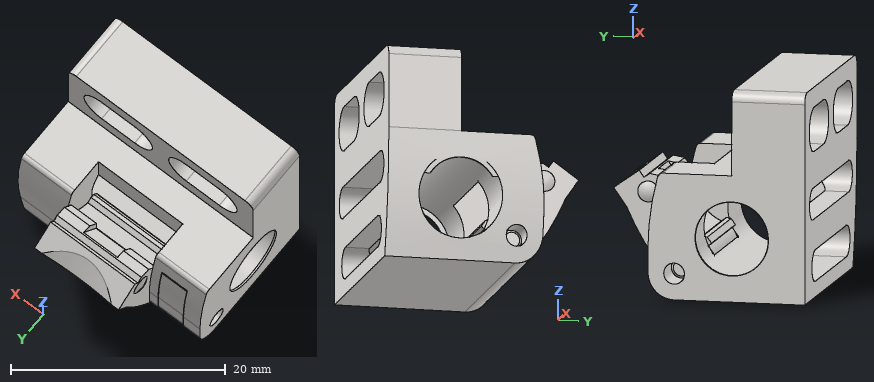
import cadquery as cq
import math

width = 22
height = 20.0
base_depth = 15.0
base_height = 12.0
flange_depth = 7.0
flange_corner_radius = 1.0

bore_y, bore_z = flange_depth, base_height / 2
bore_radius = 3.5
bore_relief_radius = 4.0
bore_lip = 0.2
pivot_radius = 2.5
pivot_y, pivot_z = base_depth - pivot_radius, pivot_radius

back_curve_radius = 27.0
back_curve_start = 4.6
back_edge_radius = 0.5
side_curve_radius = 44
side_curve_start = base_height

mount_slot_length = 8.12
mount_slot_height = 4.2
mount_slot_z = 16.0
mount_slot_xs = (5.98, 16.04)

blind_slot_height = 3.0
blind_slot_offset = 3.0
blind_slot_x = width / 2
upper_slot_length = 18.0
lower_slot_length = 16.0
slot_wall_distance = 4.55
slot_wall_angle = 40
slot_inner_radius = 0.46

recess_x = 2.0
recess_width = 3.0
recess_half_height = 4.0
recess_depth = 0.09

lever_x = 6.0
lever_width = 10.0
lever_center_x = lever_x + lever_width / 2
lever_open_angle = 35
nose_y = pivot_y - pivot_radius
grip_radius = 4.14
lip_top = 12.2
lip_inner_y = 11.45
lip_outer_y = 14.45
lip_step = 0.8
nose_chamfer = 0.8
foot_y = 9.6
foot_top = 3.8
foot_bottom = 2.77
foot_chamfer = 0.3
latch_width = 4.0
latch_depth = 0.65
scoop_radius = 15.4
scoop_depth = 0.6
scoop_tilt = 15

stud_y, stud_z = 11.88, 10.1
stud_radius = 1.0
stud_height = 0.26
pin_radius = 1.0
pin_inset = 3.0
pin_chamfer = 0.25


def back_y(z):
    """Y of the curved back at a height above the start of the curve."""
    rise = z - back_curve_start
    return base_depth - back_curve_radius + math.sqrt(back_curve_radius**2 - rise**2)


def back_z(y):
    """Height at which the curved back reaches a given Y."""
    inset = base_depth - y
    return back_curve_start + math.sqrt(back_curve_radius**2 - (back_curve_radius - inset) ** 2)


def back_point(z):
    return (back_y(z), z)


def along_x(sketch, x_start, length):
    """Extrude a YZ outline along X."""
    return sketch.extrude(length).translate((x_start, 0, 0))


def base_outline():
    middle = (back_curve_start + base_height) / 2
    return (
        cq.Workplane("YZ")
        .lineTo(pivot_y, 0)
        .radiusArc((base_depth, pivot_z), -pivot_radius)
        .lineTo(base_depth, back_curve_start)
        .threePointArc(back_point(middle), back_point(base_height))
        .lineTo(0, base_height)
        .close()
    )


def base_block():
    block = along_x(base_outline(), 0, width)
    top_back_edge = cq.selectors.NearestToPointSelector((width / 2, back_y(base_height), base_height))
    return block.edges(top_back_edge).fillet(back_edge_radius)


def flange():
    plate = cq.Workplane("XY").box(width, flange_depth, height, centered=False)
    return plate.edges("|Y and >Z").fillet(flange_corner_radius)


def side_trim():
    """Material outside the curved +X side."""

    def side_point(z):
        fall = side_curve_start - z
        return (width - side_curve_radius + math.sqrt(side_curve_radius**2 - fall**2), z)

    return (
        cq.Workplane("XZ")
        .moveTo(width, side_curve_start)
        .threePointArc(side_point(side_curve_start / 2), side_point(0))
        .lineTo(width, 0)
        .close()
        .extrude(-base_depth)
    )


def mount_slots():
    return (
        cq.Workplane("XZ")
        .pushPoints([(x, mount_slot_z) for x in mount_slot_xs])
        .slot2D(mount_slot_length, mount_slot_height)
        .extrude(-flange_depth)
    )


def blind_slot(length):
    """Slot above the bore: flat floor and roof, ending at a slanted wall facing away from the bore."""
    angle = math.radians(slot_wall_angle)
    floor = bore_z + blind_slot_offset - blind_slot_height / 2
    roof = floor + blind_slot_height

    def wall_y(z):
        return bore_y - (slot_wall_distance - (z - bore_z) * math.sin(angle)) / math.cos(angle)

    side_outline = (
        cq.Workplane("YZ")
        .polyline([(0, floor), (wall_y(floor), floor), (wall_y(roof), roof), (0, roof)])
        .close()
    )
    inner_edge = cq.selectors.NearestToPointSelector((width / 2, wall_y(roof), roof))
    wedge = along_x(side_outline, 0, width).edges(inner_edge).fillet(slot_inner_radius)
    front_outline = (
        cq.Workplane("XZ")
        .center(blind_slot_x, floor + blind_slot_height / 2)
        .slot2D(length, blind_slot_height)
        .extrude(-base_depth)
    )
    return front_outline.intersect(wedge)


def back_recess():
    """Thin skin of the curved back, removed over a rectangle."""
    shifted = along_x(base_outline(), 0, width).translate((0, -recess_depth, 0))
    window = cq.Workplane("XY").box(recess_width, base_depth, 2 * recess_half_height)
    window = window.translate((recess_x + recess_width / 2, base_depth, bore_z))
    return window.cut(shifted)


def x_cylinder(y, z, radius, x_start, length):
    return along_x(cq.Workplane("YZ").center(y, z).circle(radius), x_start, length)


def lever_pocket():
    """Opening for the lever, from the pivot height upward."""
    pocket = cq.Workplane("XY").box(lever_width, base_depth, base_height, centered=False)
    return pocket.translate((lever_x, nose_y, pivot_z))


def lever_body():
    shelf = lip_top - lip_step
    nose_top = shelf - nose_chamfer
    grip_start = bore_z + math.sqrt(grip_radius**2 - (nose_y - bore_y) ** 2)

    grip_end = bore_y + math.sqrt(grip_radius**2 - (foot_top - bore_z) ** 2)
    foot_end = pivot_y - math.sqrt(pivot_radius**2 - (foot_bottom - pivot_z) ** 2)

    lip_bottom = back_z(lip_outer_y)
    middle = (back_curve_start + lip_bottom) / 2
    outline = (
        cq.Workplane("YZ")
        .moveTo(lip_outer_y, lip_top)
        .lineTo(lip_inner_y, lip_top)
        .lineTo(lip_inner_y, shelf)
        .lineTo(nose_y + nose_chamfer, shelf)
        .lineTo(nose_y, nose_top)
        .lineTo(nose_y, grip_start)
        .threePointArc((bore_y + grip_radius, bore_z), (grip_end, foot_top))
        .lineTo(foot_y + foot_chamfer, foot_top)
        .lineTo(foot_y, foot_top - foot_chamfer)
        .lineTo(foot_y, foot_bottom)
        .lineTo(foot_end, foot_bottom)
        .threePointArc((pivot_y, pivot_z - pivot_radius), (base_depth, pivot_z))
        .lineTo(base_depth, back_curve_start)
        .threePointArc(back_point(middle), (lip_outer_y, lip_bottom))
        .close()
    )
    return along_x(outline, lever_x, lever_width)


def latch_notch():
    notch = cq.Workplane("XY").box(latch_width, latch_depth, lip_top - bore_z, centered=False)
    return notch.translate((lever_center_x - latch_width / 2, nose_y, bore_z))


def thumb_scoop():
    """Shallow cylinder sinking into the lip toward its outer edge."""
    scoop = cq.Workplane("XZ").circle(scoop_radius).extrude(base_depth, both=True)
    scoop = scoop.translate((0, 0, scoop_radius)).rotate((0, 0, 0), (1, 0, 0), -scoop_tilt)
    return scoop.translate((lever_center_x, lip_outer_y, lip_top - scoop_depth))


def studs():
    """Shallow domes on both sides of the lever."""
    half_width = lever_width / 2
    sphere_radius = (stud_radius**2 + stud_height**2) / (2 * stud_height)
    dome = (
        cq.Workplane("XY")
        .lineTo(0, stud_radius)
        .lineTo(half_width, stud_radius)
        .radiusArc((half_width + stud_height, 0), sphere_radius)
        .close()
        .revolve(360, (0, 0, 0), (1, 0, 0))
    )
    pair = dome.union(dome.mirror("YZ"))
    return pair.translate((lever_center_x, stud_y, stud_z))


def lever():
    closed = lever_body().cut(latch_notch()).cut(thumb_scoop()).union(studs())
    return closed.rotate((0, pivot_y, pivot_z), (1, pivot_y, pivot_z), -lever_open_angle)


def pivot_pin():
    pin = x_cylinder(pivot_y, pivot_z, pin_radius, pin_inset, width - 2 * pin_inset)
    return pin.faces("<X or >X").chamfer(pin_chamfer)


upper_slot = blind_slot(upper_slot_length)
lower_slot = blind_slot(lower_slot_length).mirror("XY", (0, 0, bore_z))

result = (
    base_block()
    .union(flange())
    .cut(side_trim())
    .cut(mount_slots())
    .cut(upper_slot)
    .cut(lower_slot)
    .cut(back_recess())
    .cut(x_cylinder(bore_y, bore_z, bore_radius, 0, width))
    .cut(x_cylinder(bore_y, bore_z, bore_relief_radius, bore_lip, width - 2 * bore_lip))
    .cut(lever_pocket())
    .cut(x_cylinder(pivot_y, pivot_z, pin_radius, 0, width))
    .union(lever())
    .union(pivot_pin())
)